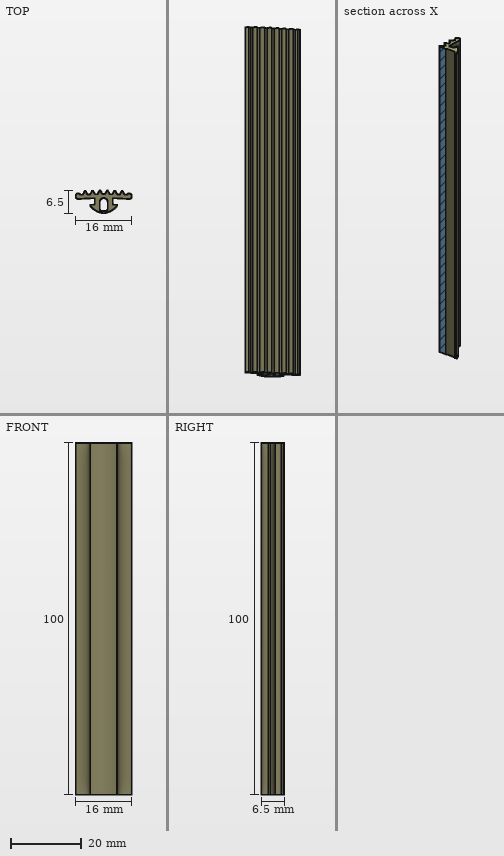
import cadquery as cq
import math

length = 100.0
width = 16.0
height = 6.5

crown_radius = 95.0
underside_height = 4.3
end_radius = 0.85
end_center_x = width / 2 - end_radius

groove_floor_height = 5.5
tooth_pitch = 2.1
teeth_per_side = 3
tooth_tip_radius = 0.2
end_groove_half_width = 0.2
flank_angle = math.radians(60)

stem_half_width = 2.6
head_half_width = 3.8
head_top = 2.5
head_side_bottom = 2.0
head_side_taper = 0.05
stem_fillet = 0.2
nose_half_width = 0.45
nose_rise = 0.05
barb_bulge = 0.33

core_half_width = 1.1
core_top = 4.3
core_bottom = 0.7
core_corner_radius = 0.5


def crown_drop(x):
    """Fall of the crowned faces at a distance x from the centre plane."""
    return crown_radius - math.sqrt(crown_radius**2 - x**2)


def extrude(sketch):
    return sketch.close().extrude(length)


def crowned(x, center_height):
    """Point at x on a crowned surface of the given height at the centre plane."""
    return (x, center_height - crown_drop(x))


def flange_half():
    """Half of the flange, x >= 0, with its fully rounded outer end."""
    end_bottom = crowned(end_center_x, underside_height)
    end_center_y = end_bottom[1] + end_radius
    floor_end_x = teeth_per_side * tooth_pitch + end_groove_half_width
    outline = (
        cq.Workplane("XY")
        .moveTo(0, underside_height)
        .threePointArc(crowned(end_center_x / 2, underside_height), end_bottom)
        .threePointArc((width / 2, end_center_y), (end_center_x, end_center_y + end_radius))
        .lineTo(*crowned(floor_end_x, groove_floor_height))
        .threePointArc(crowned(floor_end_x / 2, groove_floor_height), (0, groove_floor_height))
    )
    return extrude(outline)


def tooth(x):
    """One tooth, rooted in the flange: straight flanks tangent to a round tip on the crown."""
    tip = crowned(x, height + crown_drop(tooth_pitch / 2))
    root_y = underside_height + end_radius
    tangent_x = tooth_tip_radius * math.sin(flank_angle)
    tangent_y = tip[1] - tooth_tip_radius * (1 - math.cos(flank_angle))
    root_half_width = tangent_x + (tangent_y - root_y) / math.tan(flank_angle)
    outline = (
        cq.Workplane("XY")
        .moveTo(x + root_half_width, root_y)
        .lineTo(x + tangent_x, tangent_y)
        .threePointArc(tip, (x - tangent_x, tangent_y))
        .lineTo(x - root_half_width, root_y)
    )
    return extrude(outline)


def stem_and_head():
    """Stem with the arrow-shaped head, drawn symmetrically about x = 0."""
    stem_top = (underside_height + groove_floor_height) / 2
    barb_half_width = head_half_width - head_side_taper
    barb_run = barb_half_width - nose_half_width
    barb_rise = head_side_bottom - nose_rise
    barb_length = math.hypot(barb_run, barb_rise)
    barb_mid_x = (barb_half_width + nose_half_width) / 2 + barb_bulge * barb_rise / barb_length
    barb_mid_y = (head_side_bottom + nose_rise) / 2 - barb_bulge * barb_run / barb_length
    outline = (
        cq.Workplane("XY")
        .moveTo(-stem_half_width, stem_top)
        .lineTo(-stem_half_width, head_top)
        .lineTo(-head_half_width, head_top)
        .lineTo(-barb_half_width, head_side_bottom)
        .threePointArc((-barb_mid_x, barb_mid_y), (-nose_half_width, nose_rise))
        .threePointArc((0, 0), (nose_half_width, nose_rise))
        .threePointArc((barb_mid_x, barb_mid_y), (barb_half_width, head_side_bottom))
        .lineTo(head_half_width, head_top)
        .lineTo(stem_half_width, head_top)
        .lineTo(stem_half_width, stem_top)
    )
    stem_roots = cq.selectors.BoxSelector(
        (-stem_half_width - stem_fillet, head_top - stem_fillet, 0),
        (stem_half_width + stem_fillet, head_top + stem_fillet, length),
    )
    return extrude(outline).edges("|Z").edges(stem_roots).fillet(stem_fillet)


def core():
    """Through passage along the full length."""
    shoulder = core_top - core_half_width
    outline = (
        cq.Workplane("XY")
        .moveTo(-core_half_width, shoulder)
        .lineTo(-core_half_width, core_bottom)
        .lineTo(core_half_width, core_bottom)
        .lineTo(core_half_width, shoulder)
        .threePointArc((0, core_top), (-core_half_width, shoulder))
    )
    return extrude(outline).edges("|Z and <Y").fillet(core_corner_radius)


right_half = flange_half()
for index in range(teeth_per_side):
    right_half = right_half.union(tooth((index + 0.5) * tooth_pitch))

flange = right_half.union(right_half.mirror("YZ"))
result = flange.union(stem_and_head()).cut(core())